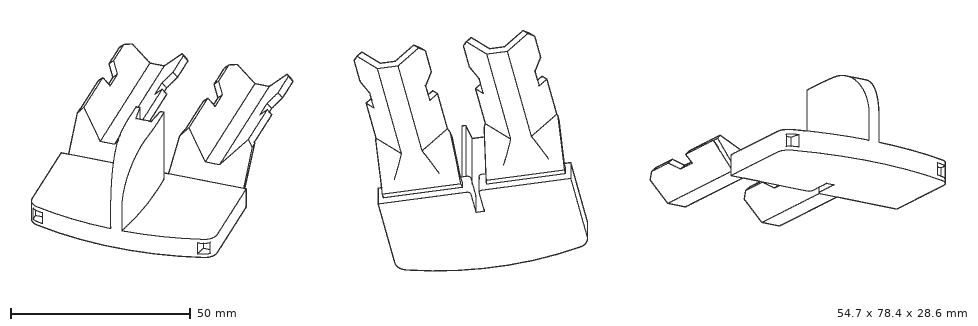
import cadquery as cq
import math

base_width = 54.7
base_depth = 31.45
base_height = 6.1
front_radius = 87.8
corner_radius = 3.8
split_width = 2.35
split_end = 22.9
split_corner_radius = 1.0

fin_height = 28.55
fin_rear = 28.5
fin_rear_half_width = 4.15
fin_mid_half_width = 3.5
fin_front_half_width = 1.65
fin_nose_radius = 15.0

gap_front_half_width = 2.3
gap_rear_half_width = 4.6
gap_rear = 40.8

part_length = 78.4
trough_x = 15.5
trough_start = 43.2
trough_floor = 8.8
trough_top = 15.45
floor_half_width = 2.1
sheet = 1.95
end_chamfer = 3.0
chamfer_drop = 1.4
notch_start = 57.7
notch_end = 63.75
notch_ramp_end = 66.7
notch_drop = 2.2

web_outer_x = 25.9
web_bottom = 2.1
web_foot_y = 32.9
web_top_y = 41.9
web_bend_radius = 3.1
web_bend_y = 39.5
web_bend_z = 6.1
web_embed = 1.6

pocket_outer_x = 26.1
pocket_mouth_x = 22.9
pocket_inner_x = 23.5
pocket_back = 6.3
pocket_bottom = 1.2
pocket_top = 4.8

clear = 31.4
margin = 0.8

sheet_miter = sheet * math.tan(math.radians(22.5))
tip_offset = sheet / math.sqrt(2)
trough_bottom = trough_floor - sheet
tip_half_width = floor_half_width + trough_top - trough_floor
outer_half_width = tip_half_width + tip_offset
outer_tip_z = trough_top - tip_offset
bottom_half_width = floor_half_width + sheet_miter


def prism(points, bottom, top):
    """Vertical prism from a plan outline."""
    return cq.Workplane("XY").workplane(offset=bottom).polyline(points).close().extrude(top - bottom)


def along_y(points, start, end):
    """Prism along Y from an XZ outline."""
    return cq.Workplane("XZ", origin=(0, start, 0)).polyline(points).close().extrude(start - end)


def make_base():
    half = base_width / 2
    corner_y = front_radius - math.sqrt(front_radius**2 - half**2)
    plate = (
        cq.Workplane("XY")
        .moveTo(-half, base_depth)
        .lineTo(-half, corner_y)
        .threePointArc((0, 0), (half, corner_y))
        .lineTo(half, base_depth)
        .close()
        .extrude(base_height)
        .edges("|Z and (not >Y)")
        .fillet(corner_radius)
    )
    split_length = base_depth - split_end
    split = cq.Workplane("XY").box(split_width, split_length, base_height, (True, False, False))
    plate = plate.cut(split.translate((0, split_end, 0)))
    inner = cq.selectors.BoxSelector(
        (-split_width, base_depth - margin, -margin),
        (split_width, base_depth + margin, base_height + margin),
    )
    return plate.edges("|Z").edges(inner).fillet(split_corner_radius)


def make_fin():
    plan = (
        cq.Workplane("XY")
        .moveTo(-fin_front_half_width, 0)
        .threePointArc((-fin_mid_half_width, split_end / 2), (-fin_rear_half_width, split_end))
        .lineTo(-fin_rear_half_width, fin_rear)
        .lineTo(fin_rear_half_width, fin_rear)
        .lineTo(fin_rear_half_width, split_end)
        .threePointArc((fin_mid_half_width, split_end / 2), (fin_front_half_width, 0))
        .close()
        .extrude(fin_height)
    )
    side = (
        cq.Workplane("YZ")
        .rect(fin_rear, fin_height - base_height, centered=False)
        .extrude(fin_rear_half_width, both=True)
        .translate((0, 0, base_height))
        .edges("|X and <Y and >Z")
        .fillet(fin_nose_radius)
    )
    gap = prism(
        [
            (-gap_front_half_width, split_end),
            (gap_front_half_width, split_end),
            (gap_rear_half_width, gap_rear),
            (-gap_rear_half_width, gap_rear),
        ],
        base_height,
        fin_height,
    )
    front_curve = cq.Workplane("XY").center(0, front_radius).circle(front_radius).extrude(fin_height)
    return plan.intersect(side).intersect(front_curve).cut(gap)


def channel(start, end):
    """Open space inside the V trough."""
    rise = clear - trough_floor
    points = [
        (-floor_half_width, trough_floor),
        (floor_half_width, trough_floor),
        (floor_half_width + rise, clear),
        (-floor_half_width - rise, clear),
    ]
    return along_y(points, start, end)


def edge_cutter(side, plan):
    """Cutter square to one 45-degree wall; plan gives (Y, X drop from the tip)."""
    plane = cq.Plane(
        origin=(side * tip_half_width, 0, trough_top),
        xDir=(0, 1, 0),
        normal=(side, 0, -1),
    )
    outward = plane.yDir.z
    points = [(y, -drop * math.sqrt(2) * math.copysign(1, outward)) for y, drop in plan]
    return cq.Workplane(plane).polyline(points).close().extrude(2 * sheet, both=True)


def make_trough():
    half_outline = [
        (floor_half_width, trough_floor),
        (tip_half_width, trough_top),
        (outer_half_width, outer_tip_z),
        (bottom_half_width, trough_bottom),
    ]
    mirrored = [(-x, z) for x, z in reversed(half_outline)]
    trough = along_y(half_outline + mirrored, trough_start, part_length)
    end_corner = [
        (part_length - end_chamfer, 0),
        (part_length, chamfer_drop),
        (part_length + margin, chamfer_drop),
        (part_length + margin, -margin),
        (part_length - end_chamfer, -margin),
    ]
    notch = [
        (notch_start, -margin),
        (notch_start, notch_drop),
        (notch_end, notch_drop),
        (notch_ramp_end, 0),
        (notch_ramp_end, -margin),
    ]
    for side in (-1, 1):
        trough = trough.cut(edge_cutter(side, end_corner)).cut(edge_cutter(side, notch))
    return trough


def web_section(y, half_width, bottom_z, edge_z):
    points = [
        (-bottom_half_width, bottom_z),
        (bottom_half_width, bottom_z),
        (half_width, edge_z),
        (half_width, clear),
        (-half_width, clear),
        (-half_width, edge_z),
    ]
    return cq.Wire.makePolygon([cq.Vector(x, y, z) for x, z in points], close=True)


def make_web():
    """Sloping web, flat at the base and V-shaped below where it meets the trough."""
    reach = trough_x
    wing_z = trough_bottom + reach - bottom_half_width
    body = cq.Workplane(
        cq.Solid.makeLoft(
            [
                web_section(web_foot_y, reach, web_bottom, web_bottom),
                web_section(trough_start, reach, trough_bottom, wing_z),
            ],
            True,
        )
    )
    foot_length = web_foot_y - base_depth + web_embed
    foot = cq.Workplane("XY").box(2 * reach, foot_length, clear, (True, False, False))
    body = body.union(foot.translate((0, web_foot_y - foot_length, web_bottom)))

    web_top_slope = (trough_top - web_bottom - sheet) / (web_top_y - web_foot_y)
    rear_top_z = trough_top + web_top_slope * (trough_start - web_top_y)
    side = (
        cq.Workplane("YZ")
        .moveTo(base_depth - web_embed, web_bottom)
        .lineTo(web_foot_y, web_bottom)
        .threePointArc((web_bend_y, web_bend_z), (trough_start, trough_bottom))
        .lineTo(trough_start, rear_top_z)
        .lineTo(web_foot_y, web_bottom + sheet)
        .lineTo(base_depth - web_embed, web_bottom + sheet)
        .close()
        .extrude(reach, both=True)
    )
    foot_bend = cq.selectors.NearestToPointSelector((0, web_foot_y, web_bottom + sheet))
    side = side.edges("|X").edges(foot_bend).fillet(web_bend_radius)

    roof_drop = reach - tip_half_width
    roof = along_y(
        [
            (-reach, 0),
            (reach, 0),
            (reach, trough_top - roof_drop),
            (tip_half_width, trough_top),
            (-tip_half_width, trough_top),
            (-reach, trough_top - roof_drop),
        ],
        base_depth - web_embed,
        trough_start,
    )
    return body.intersect(side).intersect(roof).cut(channel(web_foot_y, trough_start))


def make_strap():
    web = make_web().translate((trough_x, 0, 0))
    taper = (gap_rear_half_width - gap_front_half_width) / (gap_rear - split_end)
    front = base_depth - web_embed
    plan = prism(
        [
            (gap_front_half_width + taper * (front - split_end), front),
            (web_outer_x, front),
            (web_outer_x, trough_start),
            (gap_front_half_width + taper * (trough_start - split_end), trough_start),
        ],
        0,
        clear,
    )
    return web.intersect(plan).union(make_trough().translate((trough_x, 0, 0)))


def make_pocket():
    return prism(
        [
            (pocket_mouth_x, 0),
            (pocket_outer_x, 0),
            (pocket_outer_x, pocket_back),
            (pocket_inner_x, pocket_back),
            (pocket_mouth_x, pocket_back / 2),
        ],
        pocket_bottom,
        pocket_top,
    )


strap = make_strap()
pocket = make_pocket()
result = make_base().union(make_fin())
result = result.union(strap).union(strap.mirror("YZ"))
result = result.cut(pocket).cut(pocket.mirror("YZ"))